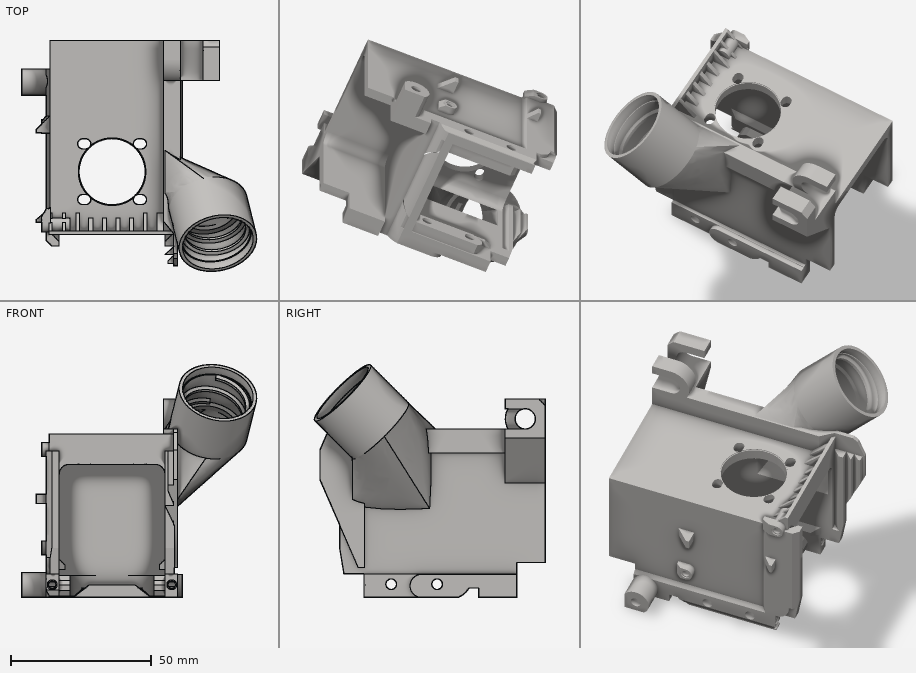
import math

import cadquery as cq


OVERLAP = 0.2

box_left = 10.0
box_back = 81.96
inner_left = 13.3
inner_right = 50.8
wall_right = 54.1
runner_right = 55.3
roof_top = 51.5
ceiling = 47.2
ceiling_radius = 3.5
partition_front = 56.0
partition_wall = 2.3
partition_bottom = 3.3
box_bottom = 12.4
step_back = 71.9
wall_bottom = 8.4
rim_left = 8.65
rim_rear = 21.4
rim_rise = box_left - rim_left

plate_left = 9.7
plate_front = 13.1
plate_back = 14.4
plate_top = 58.0
plate_right = 54.1
flange_front = 9.0
flange_top = 52.0
flange_taper_z = 17.5
flange_taper = 1.5
flange_chamfer = 2.0
flange_groove = 2.5
flange_groove_z = 14.5
flange_relief_z = 14.2
flange_relief_y = 12.4
flange_relief_end = 16.0
flange_relief_middle = (13.4, 10.3)

runner_front = 17.6
runner_notch_z = 3.3
runner_notch_rear = 58.3
runner_notch_front = 54.9
runner_ramp_end = 51.0
runner_ramp_middle = (53.35, 1.45)
runner_edge_z = (0.6, 2.6)
runner_edge_inset = 1.1
runner_toe = 0.9
cross_hole_d = 3.7
cross_hole_ys = (27.3, 43.6)
cross_hole_z = 4.7
end_screw_d = 2.6
end_screw_recess_d = 3.5
end_screw_recess = 0.6
end_screw_depth = 8.0
end_screw_z = 4.5
end_screw_xs = (10.8, 53.2)

rail_width = 3.9
rail_low, rail_high = 0.6, 7.8
rail_nose = 22.5
rail_nose_length = 3.5
rail_nose_z = (2.5, 4.4)
bar_radius = 9.0
bar_front = 48.0
bar_top = 4.5
bar_foot_inset, bar_top_inset = 0.9, 6.8
ledge_reach = 2.0
ledge_nose = 3.0
ledge_low, ledge_mid, ledge_high = 10.0, 11.5, 13.5

hinge_radius = 5.0
hinge_y, hinge_z = 67.5, 3.9
hinge_right = 57.0
right_pad_front = 34.0
right_pad_top = 8.2
hinge_hole_d = 3.7
hinge_hole_depth = 12.0

lug_tip = 5.1
lug_low, lug_high = 33.3, 36.7
rear_lug = (55.2, 49.2, 1.2)
front_lug = (rim_rear, 17.4, 1.0)
boss_tip = 7.05
boss_radius = 2.5
boss_hole_d = 2.5
boss_hole_rim_d = 3.5
boss_hole_rim_depth = 0.4
low_boss_tail, high_boss_tail = 3.8, 5.8
low_boss_y, low_boss_z = 51.4, 17.6
high_boss_y, high_boss_z = 16.5, 52.5
high_boss_length = 10.0
low_boss_hole_depth, high_boss_hole_depth = 3.0, 9.0

fan_x, fan_y = 32.05, 35.4
fan_d = 23.4
fan_edge = 0.3
fan_slot_pitch = 19.75
fan_slot_length = 4.6
fan_slot_width = 3.5

gusset_reach = 6.5
short_gusset_reach = 4.6
long_gussets = ((9.7, 1.1), (14.5, 1.1), (19.3, 1.1), (43.1, 1.4), (47.9, 2.4))
short_gusset_first, short_gusset_pitch = 23.75, 4.82
short_gusset_width, short_gusset_count = 1.5, 4

top_rail_left, top_rail_right = 50.2, 56.3
top_rail_top = 59.8
top_rail_front = 17.9
top_rail_flare_end = 13.2
fin_left = plate_right
fin_right = 55.3
fin_front = 2.0
fin_nose_z = (41.8, 52.3)
fin_brow = ((6.4, top_rail_top), (4.7, 58.6))
fin_foot_y, fin_foot_z = 15.6, 10.6
louvers = ((9.0, 6.1, 6.0, 3.2), (6.0, 3.65, 2.8, 2.3))

clamp_back = 81.96
clamp_y, clamp_z = 74.85, 63.35
clamp_hole_d = 7.1
clamp_radius = 7.1
clamp_right = 70.2
hooks = ((top_rail_left, 6.1, 1), (64.3, 5.9, -1))
clamp_base_edge = 56.5
hook_chamfer = 2.4

socket_d = 28.0
socket_length = 19.3
socket_tilt = math.radians(10)
rim_center = cq.Vector(69.58, 10.05, 72.61)
mouth_d, mouth_depth = 25.4, 3.5
thread_root_d, thread_crest_d = 24.6, 22.0
thread_pitch = 6.1
thread_width = 2.0
thread_turns = 2.0
throat_d, throat_length = 20.7, 2.0
duct_front, duct_shoulder, duct_back = 13.5, 27.8, 43.0
duct_floor, duct_shoulder_z = 28.3, 45.0
duct_wall = 1.2
duct_floor_wall = 3.0


def block(x, y, z):
    """Box spanning the (low, high) pairs x, y and z."""
    return (cq.Workplane("XY")
            .box(x[1] - x[0], y[1] - y[0], z[1] - z[0], centered=False)
            .translate((x[0], y[0], z[0])))


def prism_x(points, x0, x1):
    """Outline in (y, z), extruded from x0 to x1."""
    return cq.Workplane("YZ", origin=(x0, 0, 0)).polyline(points).close().extrude(x1 - x0)


def prism_y(points, y0, y1):
    """Outline in (x, z), extruded from y0 to y1."""
    return cq.Workplane("XZ", origin=(0, y0, 0)).polyline(points).close().extrude(y0 - y1)


def prism_z(points, z0, z1):
    """Outline in (x, y), extruded from z0 to z1."""
    return cq.Workplane("XY", origin=(0, 0, z0)).polyline(points).close().extrude(z1 - z0)


def rod_x(d, x0, x1, y, z):
    """Cylinder along X."""
    return cq.Workplane("YZ", origin=(x0, y, z)).circle(d / 2).extrude(x1 - x0)


def rod_y(d, x, y0, y1, z):
    """Cylinder along Y."""
    return cq.Workplane("XZ", origin=(x, y0, z)).circle(d / 2).extrude(y0 - y1)


def side_wall(x0, x1):
    """Side wall with its runner, from the front plate to the back face."""
    outline = [
        (plate_front, roof_top), (box_back, roof_top), (box_back, box_bottom),
        (step_back, box_bottom), (step_back, 0), (runner_front, 0),
        (runner_front, wall_bottom), (plate_front, wall_bottom),
    ]
    return prism_x(outline, x0, x1)


def left_rim():
    """Raised rim on the left wall: front strip and runner, with sloped edges."""
    strip = prism_z(
        [(box_left + OVERLAP, plate_front), (rim_left, plate_front), (rim_left, rim_rear),
         (box_left, rim_rear + rim_rise), (box_left + OVERLAP, rim_rear + rim_rise)],
        wall_bottom, flange_top)
    runner = prism_y(
        [(box_left + OVERLAP, 0), (rim_left, 0), (rim_left, wall_bottom),
         (box_left, wall_bottom + rim_rise), (box_left + OVERLAP, wall_bottom + rim_rise)],
        plate_front, step_back)
    return strip.union(runner.intersect(side_wall(rim_left, box_left + OVERLAP)))


def runner_edge():
    """Wedge taken off the lower outer edge of the left runner."""
    low, high = runner_edge_z
    inset = rim_left + runner_edge_inset
    return prism_y([(rim_left, 0), (rim_left, high), (inset, low), (inset, 0)],
                   runner_front, runner_notch_front)


def runner_toe_bevel():
    """Bevel on the front end of the left runner, above its thin bottom lip."""
    low, high = runner_edge_z
    return prism_x([(runner_front, low), (runner_front, high), (runner_front + runner_toe, low)],
                   rim_left, inner_left)


def flange(x0, x1):
    """Front flange beside the window, tapering back at its foot."""
    return prism_x(
        [(plate_back, flange_top), (flange_front, flange_top), (flange_front, flange_taper_z),
         (flange_front + flange_taper, wall_bottom), (plate_back, wall_bottom)], x0, x1)


def flange_groove_cut(wall, outward):
    """V groove on the inner side of a flange, directly in front of the plate."""
    return prism_z([(wall, plate_front), (wall + outward * flange_groove, plate_front),
                    (wall, plate_front - flange_groove)], flange_groove_z, flange_top)


def left_flange():
    side = flange(rim_left, inner_left)
    bevel = prism_z([(rim_left, flange_front), (rim_left + flange_chamfer, flange_front),
                     (rim_left, flange_front + flange_chamfer)], wall_bottom, flange_top)
    return side.cut(bevel)


def left_flange_relief():
    """Rounded recess in the outer foot of the left flange."""
    return (cq.Workplane("YZ", origin=(rim_left, 0, 0))
            .moveTo(flange_front, wall_bottom).lineTo(flange_front, flange_relief_z)
            .lineTo(flange_relief_y, flange_relief_z)
            .threePointArc(flange_relief_middle, (flange_relief_end, wall_bottom)).close().extrude(rim_rise))


def housing():
    body = side_wall(box_left, inner_left).union(side_wall(inner_right, wall_right))
    right_runner = block((wall_right - OVERLAP, runner_right), (runner_front, step_back), (0, wall_bottom))
    roof = block((box_left, wall_right), (plate_front, box_back), (ceiling - ceiling_radius, roof_top))
    plate = block((plate_left, plate_right), (plate_front, plate_back), (ceiling - ceiling_radius, plate_top))
    tunnel = (block((inner_left, inner_right), (0, box_back), (0, ceiling))
              .edges("|Y and >Z").fillet(ceiling_radius))
    partition = block((inner_left - OVERLAP, inner_right + OVERLAP),
                      (partition_front, partition_front + partition_wall), (partition_bottom, roof_top))
    body = body.union(right_runner).union(roof).union(plate).cut(tunnel).union(partition)
    body = body.union(left_rim()).cut(runner_edge()).cut(runner_toe_bevel())
    body = body.union(left_flange()).union(flange(inner_right, plate_right))
    body = body.cut(flange_groove_cut(inner_left, -1)).cut(flange_groove_cut(inner_right, 1))
    return body.cut(left_flange_relief())


def inner_rail(wall, inward):
    """Rail with a faceted nose along the inside of a runner."""
    outline = [
        (partition_front + OVERLAP, rail_low), (rail_nose + rail_nose_length / 2, rail_low),
        (rail_nose, rail_nose_z[0]), (rail_nose, rail_nose_z[1]),
        (rail_nose + rail_nose_length / 3, (rail_nose_z[1] + rail_high) / 2),
        (rail_nose + rail_nose_length, rail_high), (partition_front + OVERLAP, rail_high),
    ]
    ends = sorted((wall - inward * OVERLAP, wall + inward * rail_width))
    return prism_x(outline, ends[0], ends[1])


def inner_ledge(wall, inward):
    """Ledge with a sloped top and a pointed nose, along a wall above its rail."""
    root = wall - inward * OVERLAP
    tip = wall + inward * ledge_reach
    end = partition_front + OVERLAP
    ledge = prism_y([(root, ledge_low), (tip, ledge_low), (tip, ledge_mid), (wall, ledge_high),
                     (root, ledge_high)], runner_front, end)
    plan = prism_z([(root, runner_front), (wall, runner_front), (tip, runner_front + ledge_nose),
                    (tip, end), (root, end)], ledge_low, ledge_high)
    return ledge.intersect(plan)


def cross_bar():
    """Rounded corners between the rails and the partition, with a trapezoid bar in front."""
    left = inner_left + rail_width
    right = inner_right - rail_width
    scoop_front = partition_front - bar_radius
    corners = block((left - OVERLAP, right + OVERLAP),
                    (scoop_front, partition_front + OVERLAP), (rail_low, rail_high))
    scoop = (block((left, right), (scoop_front - bar_radius, partition_front), (0, rail_high))
             .edges("|Z and >Y").fillet(bar_radius))
    bar = prism_y([(left + bar_foot_inset, 0), (left + bar_top_inset, bar_top),
                   (right - bar_top_inset, bar_top), (right - bar_foot_inset, 0)],
                  bar_front, partition_front + partition_wall)
    foot = block((inner_left - OVERLAP, inner_right + OVERLAP), (bar_front, runner_ramp_end), (0, rail_low))
    return corners.cut(scoop).union(bar).union(foot)


def runner_notch():
    """Notch with a curved ramp, across the underside of both runners and the bar."""
    return (cq.Workplane("YZ").moveTo(runner_ramp_end, 0)
            .threePointArc(runner_ramp_middle, (runner_notch_front, runner_notch_z))
            .lineTo(runner_notch_rear, runner_notch_z).lineTo(runner_notch_rear, 0)
            .close().extrude(hinge_right))


def hinge_boss(x0, x1):
    """Knuckle with a square foot and a flat back face."""
    foot = block((x0, x1), (hinge_y, step_back), (0, hinge_z))
    knuckle = rod_x(2 * hinge_radius, x0, x1, hinge_y, hinge_z).union(foot)
    limits = block((x0, x1), (0, step_back), (0, hinge_z + hinge_radius))
    return knuckle.intersect(limits)


def right_pad():
    """Raised pad with a round front end along the right runner."""
    radius = right_pad_top / 2
    x = (runner_right - OVERLAP, hinge_right)
    nose = rod_x(2 * radius, x[0], x[1], right_pad_front + radius, radius)
    return nose.union(block(x, (right_pad_front + radius, step_back), (0, right_pad_top)))


def lug(base, rear, front, flat):
    """Snap lug: sloped at the rear, square at the front."""
    return prism_z([(base + OVERLAP, rear), (base, rear), (lug_tip, front + flat), (lug_tip, front),
                    (base + OVERLAP, front)], lug_low, lug_high)


def screw_boss(y, z, tail_length):
    """Round screw boss along X with a tail that slopes down to the wall at the back."""
    root = box_left + OVERLAP
    tail_end = y + tail_length
    tail = prism_z([(root, y), (boss_tip, y), (boss_tip, y + tail_length / 2), (rim_left, tail_end),
                    (root, tail_end)], z - boss_radius, z + boss_radius)
    return rod_x(2 * boss_radius, boss_tip, root, y, z).union(tail)


def screw_hole(y, z, depth):
    hole = rod_x(boss_hole_d, boss_tip, boss_tip + depth, y, z)
    return hole.union(rod_x(boss_hole_rim_d, boss_tip, boss_tip + boss_hole_rim_depth, y, z))


def left_fittings():
    fittings = lug(box_left, *rear_lug)
    fittings = fittings.union(lug(rim_left, *front_lug))
    fittings = fittings.union(screw_boss(low_boss_y, low_boss_z, low_boss_tail))
    fittings = fittings.union(screw_boss(high_boss_y, high_boss_z, high_boss_tail))
    return fittings.union(rod_x(2 * boss_radius, boss_tip, boss_tip + high_boss_length,
                                high_boss_y, high_boss_z))


def gusset(x, width, reach):
    return prism_x([(plate_back - OVERLAP, roof_top - OVERLAP), (plate_back + reach, roof_top - OVERLAP),
                    (plate_back + reach, roof_top), (plate_back, roof_top + reach),
                    (plate_back - OVERLAP, roof_top + reach)], x, x + width)


def gussets():
    ribs = cq.Workplane("XY")
    for x, width in long_gussets:
        ribs = ribs.union(gusset(x, width, gusset_reach - OVERLAP))
    for i in range(short_gusset_count):
        x = short_gusset_first + i * short_gusset_pitch
        ribs = ribs.union(gusset(x, short_gusset_width, short_gusset_reach))
    return ribs


def top_rail():
    return prism_z(
        [(top_rail_left, clamp_back), (top_rail_right, clamp_back), (top_rail_right, top_rail_front),
         (fin_right, top_rail_front), (fin_right, top_rail_flare_end), (fin_left, top_rail_flare_end),
         (top_rail_left, top_rail_front)], roof_top - OVERLAP, top_rail_top)


fin_outline = [
    (top_rail_front, top_rail_top), *fin_brow, (fin_front, fin_nose_z[1]), (fin_front, fin_nose_z[0]),
    (fin_foot_y, fin_foot_z), (top_rail_front, fin_foot_z),
]


def louvered_fin():
    """Thin fin in front of the right wall with two sawtooth louvers on its inner face."""
    fin = prism_x(fin_outline, fin_left - OVERLAP, fin_right)
    teeth = cq.Workplane("XY")
    for rear, tip, front, depth in louvers:
        teeth = teeth.union(prism_z(
            [(fin_left + OVERLAP, rear), (fin_left, rear), (fin_left - depth, tip), (fin_left - depth, front),
             (fin_left + OVERLAP, front)], 0, flange_top))
    reach = prism_x(fin_outline, inner_right, fin_right)
    return fin.union(teeth.intersect(reach))


def hook(x, width, direction):
    """C-shaped clamp jaw; direction is +1 when its mouth opens to the back, -1 to the front."""
    end = clamp_y + direction * clamp_radius
    y = (min(clamp_y, end), max(clamp_y, end))
    span = (x, x + width)
    if direction > 0:
        jaw = rod_x(2 * clamp_radius, x, x + width, clamp_y, clamp_z)
    else:
        jaw = block(span, (clamp_y, clamp_back), (top_rail_top, clamp_z + clamp_radius))
        jaw = jaw.edges("|X and >Y and >Z").chamfer(hook_chamfer)
    jaw = jaw.union(block(span, y, (top_rail_top - OVERLAP, clamp_z + clamp_radius)))
    slot = block(span, y, (clamp_z - clamp_hole_d / 2, clamp_z + clamp_hole_d / 2))
    return jaw.cut(slot).cut(rod_x(clamp_hole_d, x, x + width, clamp_y, clamp_z))


def clamp():
    gusset_foot = clamp_base_edge - (clamp_right - wall_right)
    root = wall_right - OVERLAP
    base = prism_y([(root, top_rail_top), (clamp_right, top_rail_top), (clamp_right, clamp_base_edge),
                    (root, gusset_foot)], clamp_y - clamp_radius, clamp_back)
    for x, width, direction in hooks:
        base = base.union(hook(x, width, direction))
    return base


socket_axis = cq.Vector(math.sin(socket_tilt), -math.cos(socket_tilt) * math.sqrt(0.5),
                        math.cos(socket_tilt) * math.sqrt(0.5))
socket_base = rim_center - socket_axis * socket_length


def socket_plane(height):
    """Plane across the socket axis, height above the socket's base."""
    return cq.Plane(origin=socket_base + socket_axis * height, xDir=(0, 1, 1), normal=socket_axis)


def socket_rod(d, height, length):
    return cq.Workplane(socket_plane(height)).circle(d / 2).extrude(length)


def duct_loft(d, inset=0, floor_inset=0):
    """Transition from the five-sided opening in the right wall to the round socket."""
    front, back = duct_front + inset, duct_back - inset
    floor, top = duct_floor + floor_inset, top_rail_top - inset
    corners = [(front, floor), (back, floor), (back, top), (duct_shoulder + inset / 2, top),
               (front, duct_shoulder_z - inset / 2)]
    opening = cq.Wire.makePolygon([cq.Vector(inner_right, y, z) for y, z in corners], close=True)
    ring = cq.Workplane(socket_plane(0)).circle(d / 2).wires().val()
    return cq.Workplane("XY").add(cq.Solid.makeLoft([opening, ring], True))


def thread():
    """Helical ridge that grips the hose."""
    root = thread_root_d / 2 + OVERLAP
    crest = thread_crest_d / 2
    half = thread_width / 2
    helix = cq.Wire.makeHelix(thread_pitch, thread_pitch * thread_turns, root)
    profile = (cq.Workplane("XZ")
               .polyline([(root, -half), (crest, -half / 2), (crest, half / 2), (root, half)]).close())
    ridge = profile.sweep(cq.Workplane("XY").add(helix), isFrenet=True)
    start = throat_length + half - OVERLAP
    return cq.Workplane("XY").add(ridge.val().moved(cq.Location(socket_plane(start))))


def add_hose_socket(body):
    body = body.union(duct_loft(socket_d)).union(socket_rod(socket_d, 0, socket_length))
    body = body.cut(duct_loft(throat_d, duct_wall, duct_floor_wall))
    body = body.cut(socket_rod(throat_d, 0, throat_length))
    body = body.cut(socket_rod(thread_root_d, throat_length, socket_length))
    body = body.cut(socket_rod(mouth_d, socket_length - mouth_depth, mouth_depth))
    return body.union(thread())


def roof_opening():
    through = roof_top - ceiling
    top = cq.Workplane("XY", origin=(fan_x, fan_y, roof_top))
    hole = top.circle(fan_d / 2).extrude(-through)
    hole = hole.union(top.circle(fan_d / 2 + fan_edge).extrude(-fan_edge))
    slots = (top.rect(fan_slot_pitch, fan_slot_pitch, forConstruction=True).vertices()
             .slot2D(fan_slot_length, fan_slot_width).extrude(-through))
    return hole.union(slots)


def runner_holes():
    holes = cq.Workplane("XY")
    for y in cross_hole_ys:
        holes = holes.union(rod_x(cross_hole_d, 0, hinge_right, y, cross_hole_z))
    for x in end_screw_xs:
        holes = holes.union(rod_y(end_screw_d, x, runner_front, runner_front + end_screw_depth, end_screw_z))
        holes = holes.union(rod_y(end_screw_recess_d, x, runner_front, runner_front + end_screw_recess,
                                  end_screw_z))
    return holes


result = housing()
for feature in (inner_rail(inner_left, 1), inner_rail(inner_right, -1), inner_ledge(inner_left, 1),
                inner_ledge(inner_right, -1), cross_bar(), right_pad()):
    result = result.union(feature)
result = result.cut(runner_notch())
for feature in (hinge_boss(0, box_left), left_fittings(), gussets(), top_rail(), louvered_fin(), clamp()):
    result = result.union(feature)
result = add_hose_socket(result)
for pocket in (roof_opening(), runner_holes(),
               rod_x(hinge_hole_d, 0, hinge_hole_depth, hinge_y, hinge_z),
               screw_hole(low_boss_y, low_boss_z, low_boss_hole_depth),
               screw_hole(high_boss_y, high_boss_z, high_boss_hole_depth)):
    result = result.cut(pocket)